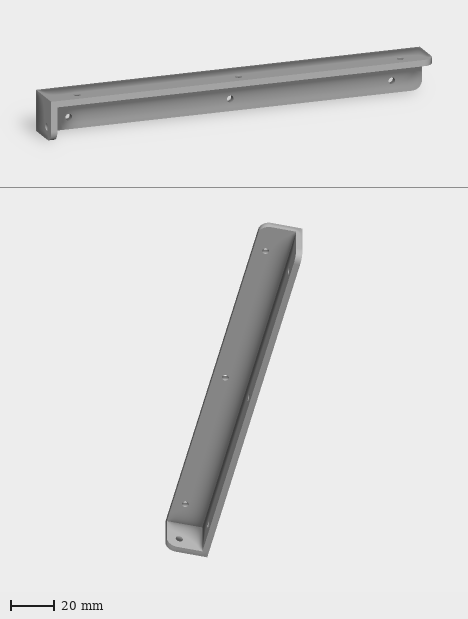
import cadquery as cq

LENGTH = 190.0
WIDTH = 20.0
THICKNESS = 3.0
CORNER_RADIUS = 5.0

SIDE_HOLE_DIAMETER = 3.2
END_HOLE_DIAMETER = 3.5
HOLE_EDGE_OFFSET = 5.9
HOLE_END_OFFSET = 15.0

hole_offset = WIDTH - HOLE_EDGE_OFFSET
hole_stations = (HOLE_END_OFFSET, LENGTH / 2, LENGTH - HOLE_END_OFFSET)


def wall(size_x, size_y, size_z, rounded_edge):
    """Flat wall extending from the origin toward +X, +Y and -Z, with one free corner rounded."""
    blank = cq.Workplane("XY").box(size_x, size_y, size_z, centered=False)
    blank = blank.translate((0, 0, -size_z))
    return blank.edges(rounded_edge).fillet(CORNER_RADIUS)


def hole(diameter, center, direction):
    """Cutter through one wall, from a centre on its outer face inward."""
    cutter = cq.Solid.makeCylinder(
        diameter / 2, THICKNESS, cq.Vector(*center), cq.Vector(*direction)
    )
    return cq.Workplane(cutter)


top_wall = wall(WIDTH, LENGTH, THICKNESS, "|Z and >X and >Y")
side_wall = wall(THICKNESS, LENGTH, WIDTH, "|X and >Y and <Z")
end_wall = wall(WIDTH, THICKNESS, WIDTH, "|Y and >X and <Z")
bracket = top_wall.union(side_wall).union(end_wall)

for station in hole_stations:
    bracket = bracket.cut(hole(SIDE_HOLE_DIAMETER, (hole_offset, station, 0), (0, 0, -1)))
    bracket = bracket.cut(hole(SIDE_HOLE_DIAMETER, (0, station, -hole_offset), (1, 0, 0)))

bracket = bracket.cut(hole(END_HOLE_DIAMETER, (hole_offset, 0, -hole_offset), (0, 1, 0)))

result = bracket